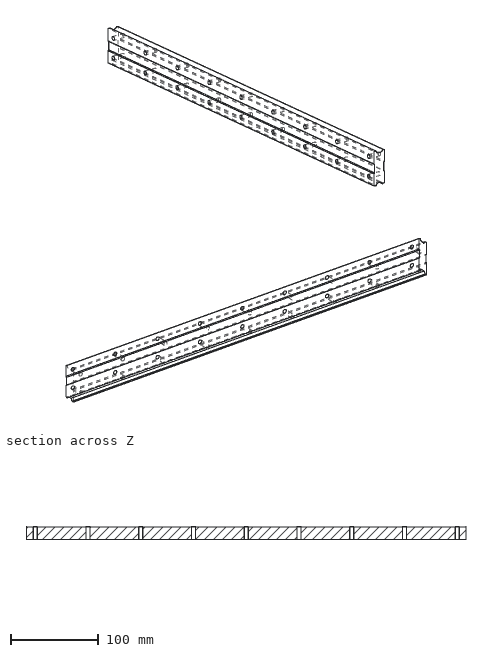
import cadquery as cq

length = 500.0
depth = 15.0
height = 42.0

channel_mouth = 12.0
channel_depth = 1.0

front_lip = 3.0
groove_wall_run = 2.0
groove_depth = 2.85

ramp_foot_place = 1.5
ramp_end_place = 2.5
ramp_end_rise = 0.25
hollow_middle_place = 3.65
hollow_middle_rise = 0.8
hollow_end_place = 4.35
hollow_end_rise = 1.85

ridge_place = 4.6
ridge_overshoot = 0.2
slope_middle_place = 6.0
slope_middle_drop = 0.7
back_corner_drop = 1.0

corner_radius = 0.5

hole_diameter = 4.5
hole_pitch = 60.0
holes_per_row = 9
row_spacing = 24.0

half_depth = depth / 2
half_height = height / 2


def upper_half():
    """Extrude the part of the rail above its middle plane, with sharp corners."""
    floor = half_height - groove_depth
    channel_floor = half_depth - channel_depth
    channel_half_floor = channel_mouth / 2 - channel_depth
    groove_front = -half_depth + front_lip
    return (
        cq.Workplane("YZ")
        .moveTo(-channel_floor, 0)
        .lineTo(-channel_floor, channel_half_floor)
        .lineTo(-half_depth, channel_mouth / 2)
        .lineTo(-half_depth, half_height)
        .lineTo(groove_front, half_height)
        .lineTo(groove_front + groove_wall_run, floor)
        .lineTo(ramp_foot_place, floor)
        .lineTo(ramp_end_place, floor + ramp_end_rise)
        .threePointArc(
            (hollow_middle_place, floor + hollow_middle_rise),
            (hollow_end_place, floor + hollow_end_rise),
        )
        .lineTo(ridge_place, half_height + ridge_overshoot)
        .threePointArc(
            (slope_middle_place, half_height - slope_middle_drop),
            (half_depth, half_height - back_corner_drop),
        )
        .lineTo(half_depth, channel_mouth / 2)
        .lineTo(channel_floor, channel_half_floor)
        .lineTo(channel_floor, 0)
        .close()
        .extrude(length / 2, both=True)
    )


def round_corners(half):
    """Round the front corner, the ridge and the back corner along the whole length."""
    corners = [
        (-half_depth, half_height),
        (ridge_place, half_height + ridge_overshoot),
        (half_depth, half_height - back_corner_drop),
    ]
    for y, z in corners:
        half = half.edges(cq.selectors.NearestToPointSelector((0, y, z))).fillet(corner_radius)
    return half


def holes():
    return (
        cq.Workplane("XZ")
        .rarray(hole_pitch, row_spacing, holes_per_row, 2)
        .circle(hole_diameter / 2)
        .extrude(depth, both=True)
    )


upper = round_corners(upper_half())
rail = upper.union(upper.mirror("XY")).clean()
result = rail.cut(holes())